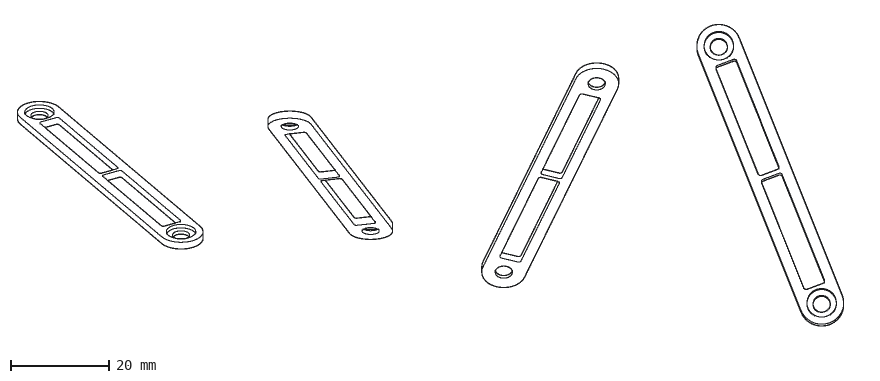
import cadquery as cq

length = 67.0
width = 9.0
thickness = 1.6

hole_spacing = length - width
hole_diameter = 3.5
counterbore_diameter = 6.0
counterbore_depth = thickness / 2

crossbar_width = 0.9
window_length = 24.8
window_width = width / 2
window_corner_radius = 0.5
window_offset = (crossbar_width + window_length) / 2


def make_body():
    """Stadium-shaped plate resting on Z = 0."""
    return cq.Workplane("XY").slot2D(length, width).extrude(thickness)


def cut_screw_holes(body):
    """Through holes counterbored from the top face."""
    centers = [(-hole_spacing / 2, 0), (hole_spacing / 2, 0)]
    return (
        body.faces(">Z")
        .workplane(origin=(0, 0, thickness))
        .pushPoints(centers)
        .cboreHole(hole_diameter, counterbore_diameter, counterbore_depth)
    )


def cut_windows(body):
    """Rounded rectangular windows on both sides of the crossbar."""
    windows = (
        cq.Workplane("XY")
        .pushPoints([(-window_offset, 0), (window_offset, 0)])
        .rect(window_length, window_width)
        .extrude(thickness)
        .edges("|Z")
        .fillet(window_corner_radius)
    )
    return body.cut(windows)


result = cut_windows(cut_screw_holes(make_body()))